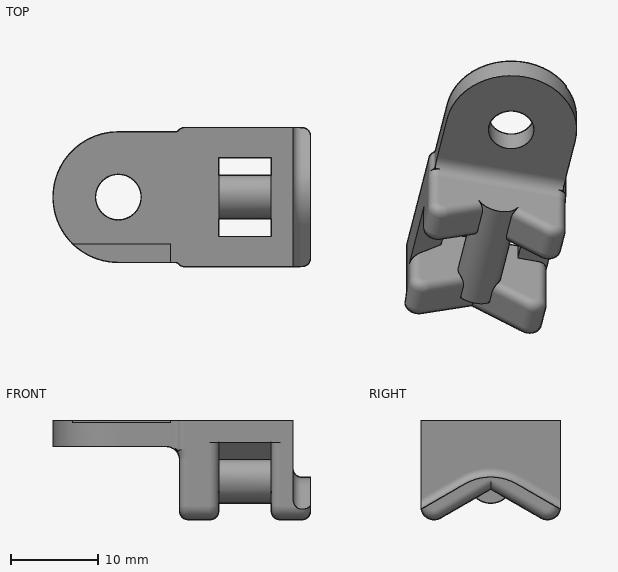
import cadquery as cq
import math


plate_half = 7.5
plate_thick = 3.0
hole_radius = 2.6
root_radius = 1.5

label_end_x = 6.0
label_inner_y = -5.35
label_depth = 0.27

half_width = 8.0
height = 11.4
neck_x = 6.65
front_leg_x = 7.0
front_leg_end_x = 11.5
rear_leg_x = 17.5
block_end_x = 20.0
flange_end_x = 22.0
slab_thick = 2.5
edge_radius = 1.0
neck_corner_radius = 0.5

notch_angle = math.radians(30)
foot_radius = 1.5

roof_apex_z = -6.5
roof_radius = 6.0

window_half = 4.48
pin_radius = 2.5
pin_z = -7.0

foot_y = half_width - foot_radius
foot_z = foot_radius - height
notch_apex_z = foot_z - foot_radius / math.cos(notch_angle) + foot_y * math.tan(notch_angle)
root_x = front_leg_x - root_radius
root_z = -plate_thick - root_radius
rounded_leg_x = front_leg_x + edge_radius

margin = 0.03


def root_arc_point(x):
    """Point at x on the quarter circle joining the plate underside to the front leg."""
    return x, root_z + math.sqrt(root_radius**2 - (x - root_x)**2)


def box(x0, x1, y0, y1, z0, z1):
    return cq.Workplane("XY").box(x1 - x0, y1 - y0, z1 - z0, centered=False).translate((x0, y0, z0))


def mirrored_selector(x0, x1, y_limit, z1):
    """Picks what lies between x0 and x1, below z1, within y_limit of the middle plane."""
    return cq.selectors.BoxSelector(
        (x0 - margin, -y_limit - margin, -height), (x1 + margin, y_limit + margin, z1))


def make_leg(x0, x1):
    """Full-height wall across the block, with the V notch and rounded feet underneath."""
    arc_dy = foot_radius * math.sin(notch_angle)
    arc_z = foot_z - foot_radius * math.cos(notch_angle)
    return (
        cq.Workplane("YZ", origin=(x0, 0, 0))
        .moveTo(-half_width, 0)
        .lineTo(half_width, 0)
        .lineTo(half_width, foot_z)
        .threePointArc((foot_y + arc_dy, arc_z), (foot_y - arc_dy, arc_z))
        .lineTo(0, notch_apex_z)
        .lineTo(-foot_y + arc_dy, arc_z)
        .threePointArc((-foot_y - arc_dy, arc_z), (-half_width, foot_z))
        .close()
        .extrude(x1 - x0)
    )


def make_plate():
    """Plate with a round front end, running back into the front leg over the root fillet."""
    side = (
        cq.Workplane("XZ", origin=(0, plate_half, 0))
        .moveTo(-plate_half, 0)
        .lineTo(rounded_leg_x, 0)
        .lineTo(rounded_leg_x, root_arc_point(neck_x)[1])
        .lineTo(*root_arc_point(neck_x))
        .threePointArc(root_arc_point((root_x + neck_x) / 2), (root_x, -plate_thick))
        .lineTo(-plate_half, -plate_thick)
        .close()
        .extrude(2 * plate_half)
    )
    outline = (
        cq.Workplane("XY")
        .moveTo(0, plate_half)
        .threePointArc((-plate_half, 0), (0, -plate_half))
        .lineTo(rounded_leg_x, -plate_half)
        .lineTo(rounded_leg_x, plate_half)
        .close()
        .extrude(-height)
    )
    return side.intersect(outline)


def make_front_leg():
    neck = (
        cq.Workplane("XZ", origin=(0, half_width, 0))
        .moveTo(neck_x, 0)
        .lineTo(front_leg_end_x, 0)
        .lineTo(front_leg_end_x, root_z)
        .lineTo(front_leg_x, root_z)
        .threePointArc(root_arc_point((front_leg_x + neck_x) / 2), root_arc_point(neck_x))
        .close()
        .extrude(2 * half_width)
    )
    body = make_leg(front_leg_x, front_leg_end_x).union(neck)
    body = body.faces(">X").edges("not >Z").fillet(edge_radius)
    front_edges = body.edges(mirrored_selector(neck_x, front_leg_x, half_width, -margin))
    front_edges = front_edges.filter(lambda edge: abs(edge.Center().y) > margin)
    return front_edges.fillet(edge_radius)


def make_rear_leg():
    """Rear leg with a chevron flange behind it, blended into the back of the block."""
    body = make_leg(rear_leg_x, flange_end_x)
    body = body.faces("<X or >X").edges("not >Z").fillet(edge_radius)

    tangent_y = roof_radius * math.sin(notch_angle)
    tangent_z = roof_apex_z - roof_radius * (1 - math.cos(notch_angle))
    eave_y = half_width + edge_radius
    eave_z = tangent_z - (eave_y - tangent_y) * math.tan(notch_angle)
    above_roof = (
        cq.Workplane("YZ", origin=(block_end_x, 0, 0))
        .moveTo(-eave_y, 0)
        .lineTo(-eave_y, eave_z)
        .lineTo(-tangent_y, tangent_z)
        .threePointArc((0, roof_apex_z), (tangent_y, tangent_z))
        .lineTo(eave_y, eave_z)
        .lineTo(eave_y, 0)
        .close()
        .extrude(2 * (flange_end_x - block_end_x))
    )
    roof_edges = above_roof.faces("<X").edges("not(>Z or >Y or <Y)")
    return body.cut(roof_edges.fillet(edge_radius))


def make_ramp():
    """45 degree strap ramp between the legs, from the window edge out to the +Y side."""
    drop = half_width - window_half
    start_x = front_leg_end_x - edge_radius
    end_x = rear_leg_x + edge_radius
    return (
        cq.Workplane("YZ", origin=(start_x, 0, 0))
        .moveTo(window_half, -slab_thick)
        .lineTo(half_width, -slab_thick)
        .lineTo(half_width, -slab_thick - drop)
        .close()
        .extrude(end_x - start_x)
    )


def make_pin():
    """Round pin along X, flush with the front leg and the back of the block."""
    return (
        cq.Workplane("YZ", origin=(front_leg_x, 0, pin_z))
        .circle(pin_radius)
        .extrude(block_end_x - front_leg_x)
    )


slab = box(rounded_leg_x, block_end_x, -half_width, half_width, -slab_thick, 0)
window = box(front_leg_end_x, rear_leg_x, -window_half, window_half, -slab_thick, 0)
hole = cq.Workplane("XY").circle(hole_radius).extrude(-plate_thick)
label_recess = box(-plate_half, label_end_x, -plate_half, label_inner_y, -label_depth, 0)

result = make_plate().union(make_front_leg())
neck_corners = result.edges("|Z").edges(mirrored_selector(root_x, front_leg_x, plate_half, 0))
result = neck_corners.fillet(neck_corner_radius)

result = result.union(slab).union(make_rear_leg()).union(make_ramp()).union(make_pin())

result = result.cut(window).cut(hole).cut(label_recess)